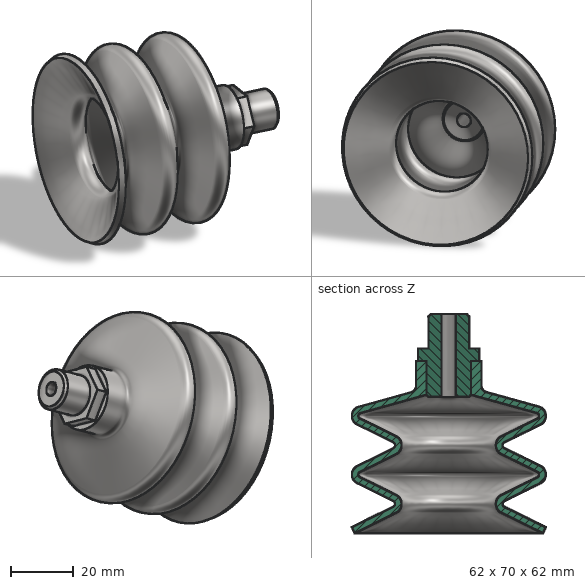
import cadquery as cq
import math


lip_radius = 31.0
wall = 2.2
fold_count = 2
fold_pitch = 18.7
crest_round = 3.1
neck_radius = 17.2
neck_round = 1.0
collar_radius = 10.5
collar_top = 55.0
collar_fillet_start = 47.0
collar_fillet = 2.0
mouth_radius = 7.65

stem_radius = 7.0
stem_chamfer = 0.5
hex_across_flats = 17.0
hex_height = 4.0
thread_radius = 13.157 / 2
thread_end = 70.0
thread_chamfer = 0.9
bore_radius = 2.25

crest_center_radius = lip_radius - crest_round
neck_center_radius = neck_radius + neck_round
collar_fillet_center_radius = collar_radius + collar_fillet


def tangent_slope(radial_gap, axial_gap, radius_sum):
    """Slope angle, from the radial direction, of the crossing tangent between two arcs."""
    center_distance = math.hypot(radial_gap, axial_gap)
    return math.atan2(axial_gap, radial_gap) - math.asin(radius_sum / center_distance)


flank_slope = tangent_slope(
    crest_center_radius - neck_center_radius, fold_pitch / 2, crest_round + neck_round
)

lip_outer_height = wall * math.cos(flank_slope)
neck_tangent_radius = neck_center_radius - neck_round * math.sin(flank_slope)
first_neck_height = (
    lip_outer_height
    + (lip_radius - neck_tangent_radius) * math.tan(flank_slope)
    + neck_round * math.cos(flank_slope)
)
top_crest_height = first_neck_height + (fold_count - 0.5) * fold_pitch
roof_slope = tangent_slope(
    crest_center_radius - collar_fillet_center_radius,
    collar_fillet_start - top_crest_height,
    crest_round + collar_fillet,
)


def round_arc(center_radius, height, radius, lower_slope, upper_slope, side):
    """Start, middle and end of an arc going up; side is +1 for a crest and -1 for a neck."""
    start = (
        center_radius + side * radius * math.sin(lower_slope),
        height - radius * math.cos(lower_slope),
    )
    middle = (center_radius + side * radius, height)
    end = (
        center_radius + side * radius * math.sin(upper_slope),
        height + radius * math.cos(upper_slope),
    )
    return start, middle, end


def fold_arcs(inset):
    """Neck and crest arcs from the lip upwards, on a wall lying inset inside the outer wall."""
    arcs = []
    for fold in range(fold_count):
        neck_height = first_neck_height + fold * fold_pitch
        crest_height = neck_height + fold_pitch / 2
        is_top = fold == fold_count - 1
        upper_slope = roof_slope if is_top else flank_slope
        arcs.append(
            round_arc(neck_center_radius, neck_height, neck_round + inset, flank_slope, flank_slope, -1)
        )
        arcs.append(
            round_arc(crest_center_radius, crest_height, crest_round - inset, flank_slope, upper_slope, 1)
        )
    return arcs


inner_arcs = fold_arcs(wall)
inner_crest_end_radius, inner_crest_end_height = inner_arcs[-1][2]
mouth_height = inner_crest_end_height + (inner_crest_end_radius - mouth_radius) * math.tan(roof_slope)


def revolve_around_y(profile):
    return profile.close().revolve(360, (0, 0, 0), (0, 1, 0))


def make_cup():
    lip_inner = (lip_radius - wall * math.sin(flank_slope), 0)
    profile = cq.Workplane("XY").moveTo(*lip_inner).lineTo(lip_radius, lip_outer_height)

    for start, middle, end in fold_arcs(0):
        profile = profile.lineTo(*start).threePointArc(middle, end)

    def fillet_point(slope):
        return (
            collar_fillet_center_radius - collar_fillet * math.sin(slope),
            collar_fillet_start - collar_fillet * math.cos(slope),
        )

    fillet_middle_slope = (roof_slope + math.pi / 2) / 2
    profile = profile.lineTo(*fillet_point(roof_slope))
    profile = profile.threePointArc(fillet_point(fillet_middle_slope), (collar_radius, collar_fillet_start))
    profile = profile.lineTo(collar_radius, collar_top)

    profile = profile.lineTo(stem_radius, collar_top)
    profile = profile.lineTo(stem_radius, mouth_height)
    profile = profile.lineTo(mouth_radius, mouth_height)

    for start, middle, end in reversed(inner_arcs):
        profile = profile.lineTo(*end).threePointArc(middle, start)
    return revolve_around_y(profile)


def plane_at(height):
    """Plane across the axis, with its normal along +Y and its local x along +X."""
    return cq.Workplane(cq.Plane(origin=(0, height, 0), xDir=(1, 0, 0), normal=(0, 1, 0)))


def make_fitting():
    stem_end = mouth_height - stem_chamfer
    stem = plane_at(stem_end).circle(stem_radius).extrude(collar_top - stem_end)
    stem = stem.faces("<Y").chamfer(stem_chamfer)

    hex_across_corners = hex_across_flats / math.cos(math.pi / 6)
    hexagon = plane_at(collar_top).polygon(6, hex_across_corners).extrude(hex_height)

    thread_start = collar_top + hex_height
    thread = plane_at(thread_start).circle(thread_radius).extrude(thread_end - thread_start)
    thread = thread.faces(">Y").chamfer(thread_chamfer)

    bore = plane_at(stem_end).circle(bore_radius).extrude(thread_end - stem_end)
    return stem.union(hexagon).union(thread).cut(bore)


cup = make_cup().solids()
fitting = make_fitting().solids()

result = cq.Compound.makeCompound([cup.val(), fitting.val()])